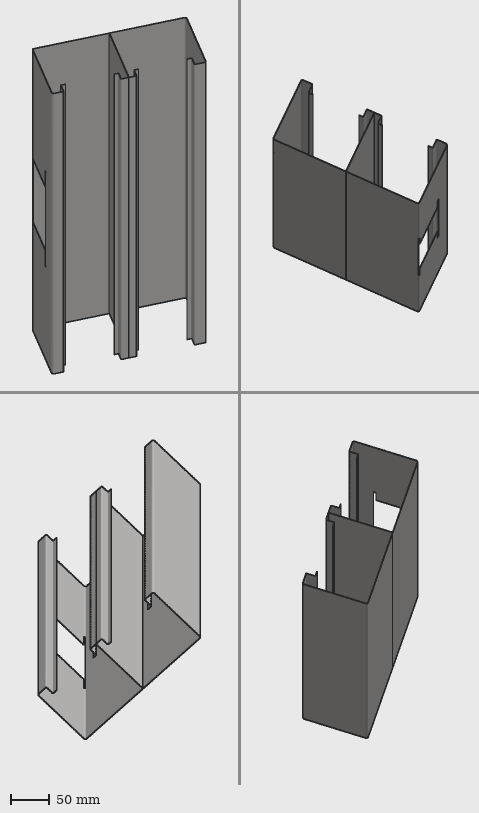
import cadquery as cq

depth = 90.0
width = 210.0
length = 500.0
wall = 1.0

corner_radius = 3.0
fold_inner_radius = 0.5
fold_outer_radius = fold_inner_radius + wall

back_x = -depth / 2
front_x = depth / 2
side_y = width / 2
inner_front_x = front_x - wall

hook_width = 16.5
hook_lip_width = 6.0
lip_back_x = 31.5
lip_front_x = lip_back_x + wall

head_front_x = inner_front_x
head_back_x = head_front_x - wall
head_half_width = 11.0
head_lip_tip_y = 16.5

window_height = 113.0
slot_height = 168.0
back_slot_inset = 1.25
back_slot_width = 2.0
window_front_x = 13.0
front_slot_width = 3.5

edge_reach = 0.1


def block(x_start, x_end, y_start, y_end, height=length):
    """Upright block between two X and two Y positions, centred on Z = 0."""
    return (
        cq.Workplane("XY", origin=(0, 0, -height / 2))
        .moveTo(x_start, y_start)
        .lineTo(x_end, y_start)
        .lineTo(x_end, y_end)
        .lineTo(x_start, y_end)
        .close()
        .extrude(height)
    )


def round_edge(solid, x, y, radius):
    """Round the upright edge that passes through (x, y)."""
    low_corner = (x - edge_reach, y - edge_reach, -edge_reach)
    high_corner = (x + edge_reach, y + edge_reach, edge_reach)
    edge_box = cq.selectors.BoxSelector(low_corner, high_corner)
    return solid.edges(edge_box).fillet(radius)


def fold(solid, outer_point, inner_point):
    """Turn a square sheet corner into a bend of even thickness."""
    solid = round_edge(solid, *outer_point, fold_outer_radius)
    return round_edge(solid, *inner_point, fold_inner_radius)


def make_side_opening():
    """Cutting tool for the window and its two relief slots."""
    back_slot_start = back_x + back_slot_inset
    back_slot_end = back_slot_start + back_slot_width
    front_slot_end = window_front_x + front_slot_width
    y_range = (-side_y, -side_y + corner_radius)
    window = block(back_slot_start, front_slot_end, *y_range, window_height)
    back_slot = block(back_slot_start, back_slot_end, *y_range, slot_height)
    front_slot = block(window_front_x, front_slot_end, *y_range, slot_height)
    return window.union(back_slot).union(front_slot)


def make_housing():
    """C-shaped sheet trunking with hooked front edges and an opening in one side."""
    hook_y = side_y - hook_width
    shelf_y = hook_y + wall
    lip_tip_y = hook_y - hook_lip_width
    shell = block(back_x, front_x, -side_y, side_y).edges("|Z").fillet(corner_radius)
    cavity = block(back_x + wall, inner_front_x, -side_y + wall, side_y - wall)
    shell = shell.cut(cavity.edges("|Z").fillet(corner_radius - wall))
    shell = shell.cut(block(inner_front_x, front_x, -hook_y, hook_y))
    for side in (-1, 1):
        near_y = side * hook_y
        far_y = side * shelf_y
        shelf = block(lip_back_x, front_x, near_y, far_y)
        lip = block(lip_back_x, lip_front_x, side * lip_tip_y, far_y)
        shell = shell.union(shelf).union(lip)
        shell = fold(shell, (front_x, near_y), (inner_front_x, far_y))
        shell = fold(shell, (lip_back_x, far_y), (lip_front_x, near_y))
    return shell.cut(make_side_opening())


def make_divider():
    """Central web standing on the back wall, with a hat-shaped head."""
    web = block(back_x + wall, head_front_x, -wall / 2, wall / 2)
    head = block(head_back_x, head_front_x, -head_half_width, head_half_width)
    divider = web.union(head)
    for side in (-1, 1):
        far_y = side * head_half_width
        near_y = side * (head_half_width - wall)
        shelf = block(lip_back_x, head_front_x, near_y, far_y)
        lip = block(lip_back_x, lip_front_x, near_y, side * head_lip_tip_y)
        divider = divider.union(shelf).union(lip)
        divider = fold(divider, (head_front_x, far_y), (head_back_x, near_y))
        divider = fold(divider, (lip_back_x, near_y), (lip_front_x, far_y))
    return divider


housing = make_housing()
divider = make_divider()
result = cq.Compound.makeCompound([housing.val(), divider.val()])